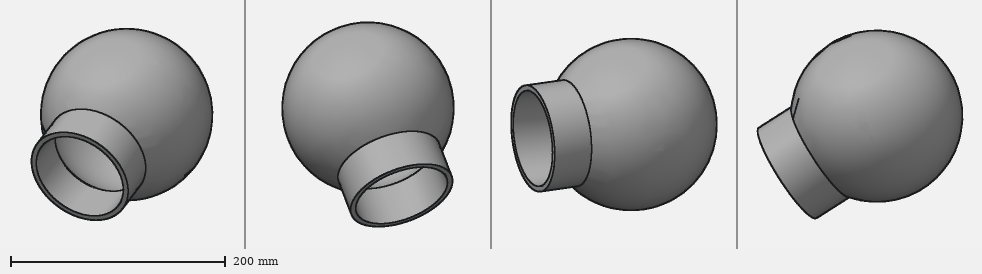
import cadquery as cq

overall_length = 180.0
globe_diameter = 160.0
neck_diameter = 100.0
wall = 5.0

globe_radius = globe_diameter / 2
neck_radius = neck_diameter / 2
rim_distance = overall_length - globe_radius


def globe_with_neck(sphere_radius, tube_radius):
    """Sphere at the origin joined to a tube that runs along -Y to the rim."""
    sphere = cq.Workplane("XY").sphere(sphere_radius)
    tube = cq.Workplane("XZ").circle(tube_radius).extrude(rim_distance)
    return sphere.union(tube)


outside = globe_with_neck(globe_radius, neck_radius)
cavity = globe_with_neck(globe_radius - wall, neck_radius - wall)
result = outside.cut(cavity)